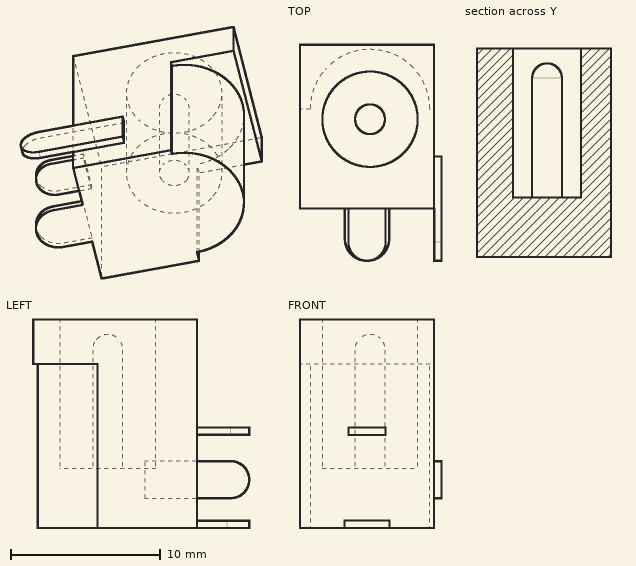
import cadquery as cq

body_width = 9.0
body_depth = 11.0
body_height = 14.0
flange_height = 3.0
flange_base = body_height - flange_height

block_depth = 6.7
barrel_radius = 4.0

socket_x = 4.7
socket_y = 6.0
socket_radius = 3.2
socket_depth = 10.0
pin_radius = 1.0
pin_top = 13.0

terminal_thickness = 0.5
terminal_reach = 3.5
narrow_width = 2.5
wide_width = 3.0
upper_terminal_z = 6.25
side_terminal_z = 3.25
front_terminal_overlap = 0.5
side_terminal_overlap = 3.5


def make_housing():
    flange = cq.Workplane("XY").box(body_width, body_depth, flange_height, centered=False)
    flange = flange.translate((0, 0, flange_base))
    block = cq.Workplane("XY").box(body_width, block_depth, flange_base, centered=False)
    barrel = cq.Workplane("XY").center(socket_x, block_depth).circle(barrel_radius).extrude(flange_base)
    return block.union(barrel).union(flange)


def cut_socket(housing):
    socket = (
        cq.Workplane("XY", origin=(socket_x, socket_y, body_height))
        .circle(socket_radius)
        .extrude(-socket_depth)
    )
    return housing.cut(socket)


def make_pin():
    """Centre pin rising from the socket floor to a hemispherical tip."""
    floor_z = body_height - socket_depth
    dome_z = pin_top - pin_radius
    return (
        cq.Workplane("XZ", origin=(socket_x, socket_y, 0))
        .moveTo(0, floor_z)
        .lineTo(pin_radius, floor_z)
        .lineTo(pin_radius, dome_z)
        .radiusArc((0, pin_top), -pin_radius)
        .close()
        .revolve(360, (0, 0, 0), (0, 1, 0))
    )


def make_terminal(width, root_y):
    """Flat strip centred on x = 0 from root_y to a full-round tip in front of the housing."""
    half = width / 2
    round_start = half - terminal_reach
    return (
        cq.Workplane("XY")
        .moveTo(-half, root_y)
        .lineTo(-half, round_start)
        .threePointArc((0, -terminal_reach), (half, round_start))
        .lineTo(half, root_y)
        .close()
        .extrude(terminal_thickness)
    )


def make_terminals():
    lower = make_terminal(wide_width, front_terminal_overlap).translate((body_width / 2, 0, 0))
    upper = make_terminal(narrow_width, front_terminal_overlap).translate(
        (body_width / 2, 0, upper_terminal_z)
    )
    side = (
        make_terminal(narrow_width, side_terminal_overlap)
        .rotate((0, 0, 0), (0, 1, 0), 90)
        .translate((body_width, 0, side_terminal_z))
    )
    return lower.union(upper).union(side)


result = cut_socket(make_housing()).union(make_pin()).union(make_terminals())